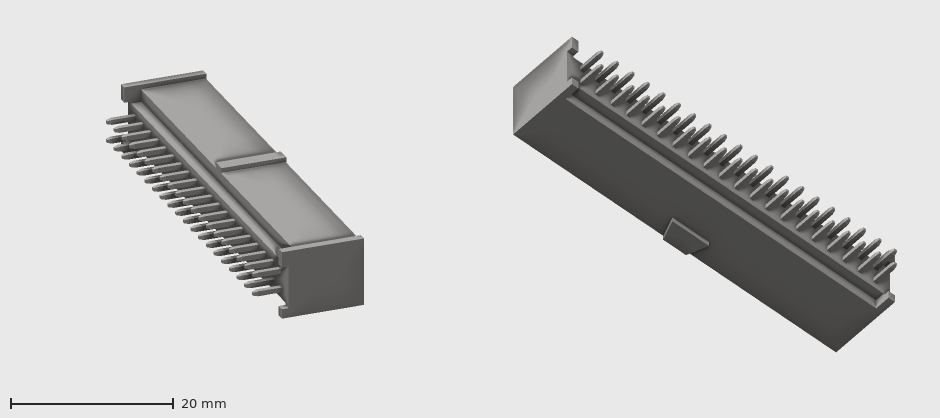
import cadquery as cq

columns = 20
pitch = 2.54
row_heights = (-pitch / 2, pitch / 2)
pin_width = 0.66
pin_tip_width = 0.4
pin_taper = 0.6
pin_length = 3.8

length = 53.14
body_height = 8.25
body_depth = 10.0
wall_top = body_height / 2
ledge_depth = 1.4
ledge_height = 2.55

cheek_width = 1.05
cheek_rise = 0.75
foot_reach = 0.9
foot_gap_bottom = -2.85
foot_gap_top = 2.8

rib_width = 1.85
key_width = 6.0
key_back_width = 3.8
key_depth = 3.0
key_height = 0.75

root_chamfer = 0.12


def block(x_range, y_range, z_range):
    """Axis-aligned box between the given limits."""
    size = [high - low for low, high in (x_range, y_range, z_range)]
    corner = (x_range[0], y_range[0], z_range[0])
    return cq.Workplane("XY").box(*size, centered=False).translate(corner)


def make_body():
    """Long block with a stepped-down pin face along its front."""
    outline = (
        cq.Workplane("YZ")
        .moveTo(0, -ledge_height)
        .lineTo(ledge_depth, -ledge_height)
        .lineTo(ledge_depth, -wall_top)
        .lineTo(body_depth, -wall_top)
        .lineTo(body_depth, wall_top)
        .lineTo(ledge_depth, wall_top)
        .lineTo(ledge_depth, ledge_height)
        .lineTo(0, ledge_height)
        .close()
    )
    inner_length = length - 2 * cheek_width
    return outline.extrude(inner_length / 2, both=True)


def make_cheek(side):
    """End plate taller than the body, with two feet standing past the pin face."""
    middle = side * (length - cheek_width) / 2
    x_range = (middle - cheek_width / 2, middle + cheek_width / 2)
    plate = block(x_range, (-foot_reach, body_depth), (-wall_top, wall_top + cheek_rise))
    gap = block(x_range, (-foot_reach, 0), (foot_gap_bottom, foot_gap_top))
    return plate.cut(gap)


def make_rib():
    """Narrow raised strip across the middle of the top face."""
    return block(
        (-rib_width / 2, rib_width / 2),
        (ledge_depth, body_depth),
        (wall_top, wall_top + cheek_rise),
    )


def make_key():
    """Trapezoidal key under the body, widening toward the pin side."""
    front = body_depth - key_depth
    return (
        cq.Workplane("XY", origin=(0, 0, -wall_top))
        .moveTo(-key_back_width / 2, body_depth)
        .lineTo(-key_width / 2, front)
        .lineTo(key_width / 2, front)
        .lineTo(key_back_width / 2, body_depth)
        .close()
        .extrude(-key_height)
    )


def make_pin():
    """Square post ending in a tapered tip, pointing toward -Y from the pin face."""
    shank_length = pin_length - pin_taper
    shank = cq.Workplane("XZ").rect(pin_width, pin_width).extrude(shank_length)
    tip = (
        cq.Workplane("XZ", origin=(0, -shank_length, 0))
        .rect(pin_width, pin_width)
        .workplane(offset=pin_taper)
        .rect(pin_tip_width, pin_tip_width)
        .loft()
    )
    return shank.union(tip)


def make_root_chamfer(x, side):
    """Sloped strip where a wall at x meets the top; side is the direction away from the wall."""
    return (
        cq.Workplane("XZ", origin=(x, body_depth, wall_top))
        .lineTo(side * root_chamfer, 0)
        .lineTo(0, root_chamfer)
        .close()
        .extrude(body_depth - ledge_depth)
    )


housing = make_body().union(make_rib()).union(make_key())
for side in (-1, 1):
    housing = housing.union(make_cheek(side))
    housing = housing.union(make_root_chamfer(side * rib_width / 2, side))
    housing = housing.union(make_root_chamfer(side * (length / 2 - cheek_width), -side))

result = housing
pin = make_pin()
for column in range(columns):
    x = (column - (columns - 1) / 2) * pitch
    for z in row_heights:
        result = result.union(pin.translate((x, 0, z)))